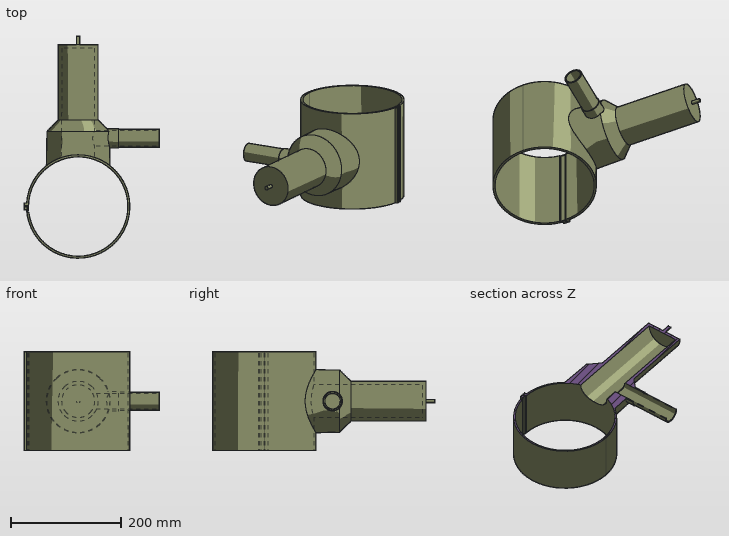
import cadquery as cq

sleeve_height = 180.0
sleeve_outer_radius = 94.0
sleeve_inner_radius = 90.0

flange_reach = 98.0
flange_width = 5.2
seam_top = 1.2
seam_bottom = -1.0
seam_cut_inner = 4 - sleeve_inner_radius
lap_radius = 92.0
lap_gap = 0.5
tongue_thickness = 1.2
tongue_end = -8.5
tongue_root = 1.2
recess_end = -10.5

body_base_radius = 59.3
body_top_radius = 57.0
body_top = 136.3
cone_top = 157.2
pipe_radius = 36.3
pipe_end = 293.5
main_bore_radius = 30.0
end_wall = pipe_radius - main_bore_radius
stem_radius = 3.2
overall_length = 403
stem_end = overall_length - sleeve_outer_radius

outlet_y = 123.8
outlet_radius = 16.5
outlet_bore_radius = 14.0
overall_width = 245.0
outlet_end = overall_width - flange_reach
collar_radius = 17.7
collar_end = 73.0


def sleeve_cylinder(radius):
    return cq.Workplane("XY").circle(radius).extrude(sleeve_height / 2, both=True)


def seam_block(x_min, x_max, y_min, y_max):
    """Full-height block beside the seam."""
    return (
        cq.Workplane("XY")
        .center((x_min + x_max) / 2, (y_min + y_max) / 2)
        .rect(x_max - x_min, y_max - y_min)
        .extrude(sleeve_height / 2, both=True)
    )


def outlet_cylinder(radius, end):
    return cq.Workplane("YZ").center(outlet_y, 0).circle(radius).extrude(end)


def make_branch():
    """Tapered body, cone, pipe and stem revolved about the Y axis."""
    return (
        cq.Workplane("XY")
        .polyline([
            (0, 0),
            (body_base_radius, 0),
            (body_top_radius, body_top),
            (pipe_radius, cone_top),
            (pipe_radius, pipe_end),
            (stem_radius, pipe_end),
            (stem_radius, stem_end),
            (0, stem_end),
        ])
        .close()
        .revolve(360, (0, 0, 0), (0, 1, 0))
    )


def add_seam(part):
    """Split the sleeve, then add the clamp flanges and the lapped tongue."""
    flange_root = -lap_radius
    for y_min in (seam_top, seam_bottom - flange_width):
        part = part.union(seam_block(-flange_reach, flange_root, y_min, y_min + flange_width))
    part = part.cut(seam_block(-flange_reach, seam_cut_inner, seam_bottom, seam_top))
    part = part.cut(seam_block(-lap_radius, seam_cut_inner, recess_end, seam_top))
    tongue_outer = -lap_radius + lap_gap
    tongue_inner = tongue_outer + tongue_thickness
    return part.union(seam_block(tongue_outer, tongue_inner, tongue_end, seam_top + tongue_root))


outside = make_branch()
outside = outside.union(outlet_cylinder(collar_radius, collar_end))
outside = outside.union(outlet_cylinder(outlet_radius, outlet_end))
outside = outside.union(sleeve_cylinder(sleeve_outer_radius))

main_bore = cq.Workplane("XZ").circle(main_bore_radius).extrude(-(pipe_end - end_wall))
cavity = sleeve_cylinder(sleeve_inner_radius).union(main_bore)
cavity = cavity.union(outlet_cylinder(outlet_bore_radius, outlet_end))

result = add_seam(outside.cut(cavity))